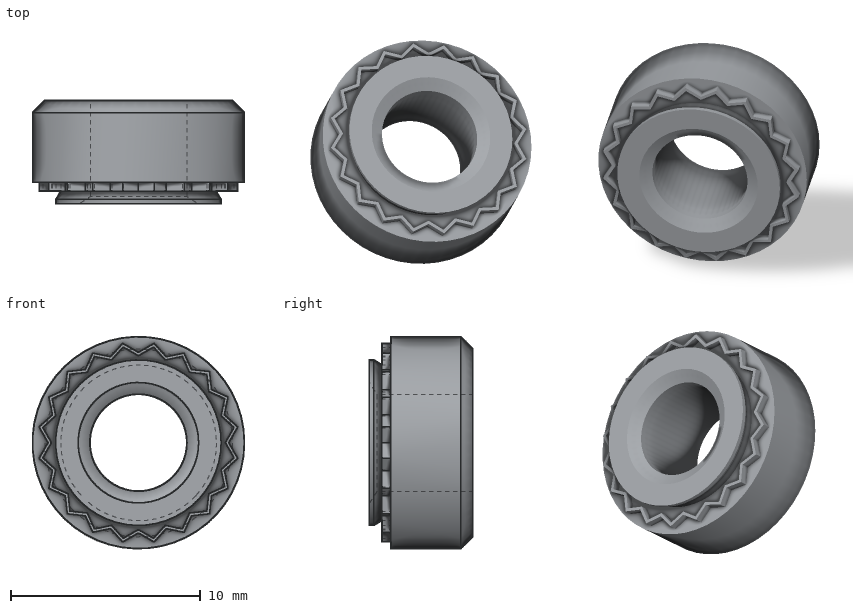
import cadquery as cq
import math

body_diameter = 11.18
overall_length = 5.46
body_length = 4.32
body_chamfer = 0.64

tooth_count = 20
tooth_tip_radius = 5.3
tooth_root_radius = 4.76
tooth_height = 0.47
tooth_wall = 0.16

lip_radius = 4.36
lip_thickness = 0.23
neck_radius = 4.1
shank_length = overall_length - body_length

bore_radius = 2.55
countersink_radius = 3.18
countersink_depth = 0.4


def revolved_nut():
    """Body, neck, flared lip and countersunk bore, turned as one half section."""
    body_radius = body_diameter / 2
    lip_back = -shank_length + lip_thickness
    half_section = [
        (countersink_radius, -shank_length),
        (lip_radius, -shank_length),
        (lip_radius, lip_back),
        (neck_radius, -tooth_height),
        (neck_radius, 0),
        (body_radius, 0),
        (body_radius, body_length - body_chamfer),
        (body_radius - body_chamfer, body_length),
        (bore_radius, body_length),
        (bore_radius, -shank_length + countersink_depth),
    ]
    return cq.Workplane("XY").polyline(half_section).close().revolve(360, (0, 0), (0, 1))


def star_outline():
    """Zigzag of the tooth ring: a root on each axis, with tips halfway between roots."""
    points = []
    for i in range(2 * tooth_count):
        radius = tooth_root_radius if i % 2 == 0 else tooth_tip_radius
        angle = math.pi * i / tooth_count
        points.append((radius * math.cos(angle), radius * math.sin(angle)))
    return cq.Workplane("XZ").polyline(points).close()


def tooth_ring():
    """Thin zigzag wall standing on the clinching face."""
    outer = star_outline().extrude(tooth_height)
    inner = star_outline().offset2D(-tooth_wall, "intersection").extrude(tooth_height)
    return outer.cut(inner)


result = revolved_nut().union(tooth_ring())